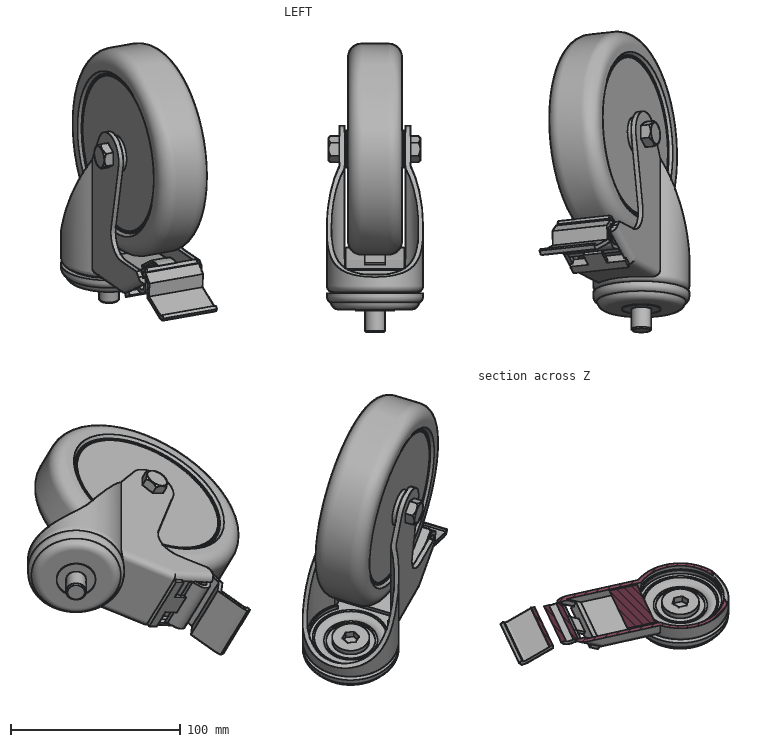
import cadquery as cq
import math


OVERALL_HEIGHT = 170.7
CUT_REACH = 102.5

WHEEL_DIA = 125.0
WHEEL_X = 40.1
WHEEL_Z = OVERALL_HEIGHT - WHEEL_DIA / 2
WHEEL_WIDTH = 32.1
TREAD_ROUND = 8.2
RIM_BEVEL_DIA = 99.4
RIM_GROOVE_DIA = 96.0
RIM_DISC_DIA = 94.0
RIM_DISC_CHAMFER = 0.5
RIM_RECESS = 1.7
RIM_GROOVE_DEPTH = 0.9
HUB_DIA = 22.0
HUB_FACE_DIA = 20.0
HUB_BEVEL = 1.0
AXLE_DIA = 8.0
AXLE_HOLE_DIA = 8.5
HEX_FLATS = 13.5
FAR_HEAD_HEIGHT = 6.7
NEAR_HEAD_HEIGHT = 6.0
HEX_FACE_DIA = 13.0

SHEET = 3.0
FORK_HALF_WIDTH = 21.0
FORK_INNER = FORK_HALF_WIDTH - SHEET
CUP_RADIUS = 28.5
CUP_WALL = 2.7
CUP_INNER = CUP_RADIUS - CUP_WALL
CUP_BOTTOM_Z = 23.5
CUP_ROUND = 4.0
CUP_FRONT_Z = 32.6
CHANNEL_BOTTOM_Z = 26.0
FLOOR_Z = 29.7
BEND_RADIUS = 4.3
EAR_RADIUS = 13.8
LEG_FRONT_ANGLE = 61.9
LEG_REAR_ANGLE = 77.0
LEG_REAR_ROUND = 13.7
LEG_FRONT_START_X = -3.8
CUP_SCOOP_MID = (-14.7, 41.3)
ARM_TOP_Z = 47.1
ARM_SLOPE = 29.7
ARM_SLOPE_START_X = 56.0
ARM_TIP_X = 76.8
ARM_END = (79.7, 44.4)
ARM_END_BOTTOM_X = 81.1
HEEL_LENGTH = 5.8
HEEL_DROP = 2.4
TONGUE_LENGTH = 14.3
TONGUE_THICKNESS = 2.0
LEDGE_INNER = 24.5
LEDGE_HEIGHT = 2.5
LEDGE_END_X = 18.8
BOWL_OUTER = 22.5
BOWL_INNER = 15.9
BOWL_DEPTH = 2.5
BOWL_BULGE = 0.9
BOWL_LIP_RADIUS = 21.5
BOWL_LIP_DROP = 0.3
SEAT_DIA = 29.0
SEAT_DEPTH = 0.5
STUD_HOLE_DIA = 12.5

RACE_TOP_Z = 23.0
RACE_BOTTOM_Z = 13.3
RACE_NECK_RADIUS = 25.0
RACE_RIM_EDGE_Z = 20.8
RACE_RIM_ROUND_MID = (28.0, 19.1)
RACE_RIM_ROUND_END = (26.5, 17.5)
RACE_DISH_START = (26.0, 16.7)
RACE_DISH_MID = (24.2, 14.3)
RACE_DISH_END_RADIUS = 21.3
RACE_BOSS_DIA = 23.0
RACE_BOSS_HEIGHT = 0.5
STUD_DIA = 12.0
STUD_CHAMFER = 0.9
STUD_HEAD_DIA = 22.0
STUD_HEAD_HEIGHT = 3.2
SOCKET_FLATS = 8.5
SOCKET_DEPTH = 4.3

PLATE_WIDTH = 34.8
PEDAL_WIDTH = 35.5
PLATE_THICKNESS = 2.4
PLATE_CORNER = 0.9
PLATE_PATH = [(21.2, 36.5), (55.5, 37.5), (67.5, 43.0), (69.0, 43.9), (81.6, 50.2)]
PEDAL_PATH = [
    (78.5, 47.1),
    (82.3, 47.5),
    (88.0, 42.7),
    (87.2, 34.1),
    (101.7, 27.5),
    (103.5, 27.1),
    (104.3, 28.2),
]
SPRING_PATH = [(54.6, 41.1), (61.8, 45.2), (67.5, 48.5), (72.9, 48.5), (76.8, 47.8)]
LOOP_WIDTH = 33.1
LOOP_REST = 2.5
LOOP_OUTER_START = (73.4, 32.0)
LOOP_OUTER_MID = (78.9, 33.6)
LOOP_OUTER_END = (80.4, 38.0)
LOOP_TOP_REAR = (79.7, 46.8)
LOOP_TOP_FRONT = (77.7, 46.8)
LOOP_INNER_START = (78.2, 38.0)
LOOP_INNER_MID = (77.0, 35.2)
LOOP_INNER_END = (74.0, 34.3)
LOOP_TAIL_TOP = (69.3, 35.2)
SPRING_WIDTH = 12.1
SPRING_THICKNESS = 1.4

ARM_DIR = (math.cos(math.radians(ARM_SLOPE)), math.sin(math.radians(ARM_SLOPE)))
ARM_DOWN = (ARM_DIR[1], -ARM_DIR[0])


def centred_extrude(outline, width):
    """Extrude an XZ outline symmetrically about the plane Y = 0."""
    return outline.extrude(width / 2, both=True)


def cylinder(radius, z_bottom, z_top):
    return cq.Workplane("XY").workplane(offset=z_bottom).circle(radius).extrude(z_top - z_bottom)


def wheel_axis_plane(y, facing):
    """Sketch plane on the wheel axis; facing is +1 towards +Y or -1 towards -Y."""
    return cq.Workplane(cq.Plane((WHEEL_X, y, WHEEL_Z), xDir=(1, 0, 0), normal=(0, facing, 0)))


def along_arm(start, distance, drop=0.0):
    """Point a distance up the sloping arm from start, moved squarely below it by drop."""
    return (
        start[0] + distance * ARM_DIR[0] + drop * ARM_DOWN[0],
        start[1] + distance * ARM_DIR[1] + drop * ARM_DOWN[1],
    )


def bent_strip(path, thickness, width):
    """Sheet strip whose upper face follows path; the sheet lies to the right of the path."""
    headings = [math.atan2(b[1] - a[1], b[0] - a[0]) for a, b in zip(path, path[1:])]
    incoming = [headings[0]] + headings
    outgoing = headings + [headings[-1]]
    lower = []
    for (x, z), h_in, h_out in zip(path, incoming, outgoing):
        middle = (h_in + h_out) / 2
        mitre = thickness / math.cos((h_out - h_in) / 2)
        lower.append((x + mitre * math.sin(middle), z - mitre * math.cos(middle)))
    outline = cq.Workplane("XZ").polyline(path + lower[::-1]).close()
    return centred_extrude(outline, width)


def make_wheel():
    half = WHEEL_WIDTH / 2
    disc_y = half - RIM_RECESS
    groove_y = disc_y - RIM_GROOVE_DEPTH
    hub_y = FORK_INNER
    disc_r = RIM_DISC_DIA / 2
    side = [
        (HUB_FACE_DIA / 2, hub_y),
        (HUB_DIA / 2, hub_y - HUB_BEVEL),
        (HUB_DIA / 2, disc_y),
        (disc_r - RIM_DISC_CHAMFER, disc_y),
        (disc_r, disc_y - RIM_DISC_CHAMFER),
        (disc_r, groove_y),
        (RIM_GROOVE_DIA / 2, groove_y),
        (RIM_GROOVE_DIA / 2, disc_y),
        (RIM_BEVEL_DIA / 2, half),
        (WHEEL_DIA / 2, half),
    ]
    other_side = [(r, -y) for r, y in reversed(side)]
    bore = [(AXLE_DIA / 2, -hub_y), (AXLE_DIA / 2, hub_y)]
    wheel = cq.Workplane("XY").polyline(side + other_side + bore).close()
    wheel = wheel.revolve(360, (0, 0, 0), (0, 1, 0))
    rims = cq.selectors.RadiusNthSelector(-1)
    wheel = wheel.edges("%CIRCLE").edges(rims).fillet(TREAD_ROUND)
    return wheel.translate((WHEEL_X, 0, WHEEL_Z))


def make_axle_bolt():
    bolt = wheel_axis_plane(-FORK_HALF_WIDTH, 1).circle(AXLE_DIA / 2).extrude(2 * FORK_HALF_WIDTH)
    across_corners = HEX_FLATS / math.cos(math.radians(30))
    for facing, height in ((1, FAR_HEAD_HEIGHT), (-1, NEAR_HEAD_HEIGHT)):
        plane = wheel_axis_plane(facing * FORK_HALF_WIDTH, facing)
        head = plane.transformed(rotate=(0, 0, 90)).polygon(6, across_corners).extrude(height)
        crown = plane.circle(HEX_FACE_DIA / 2 + height).extrude(height, taper=45)
        bolt = bolt.union(head.intersect(crown))
    return bolt


def fork_side_outline():
    """Fork seen from the side: cup, leg up to the wheel axle, and brake arm."""
    front = math.radians(LEG_FRONT_ANGLE)
    rear = math.radians(LEG_REAR_ANGLE)
    front_tangent = (WHEEL_X - EAR_RADIUS * math.sin(front), WHEEL_Z + EAR_RADIUS * math.cos(front))
    rear_tangent = (WHEEL_X + EAR_RADIUS * math.sin(rear), WHEEL_Z - EAR_RADIUS * math.cos(rear))
    leg_start_z = front_tangent[1] - (front_tangent[0] - LEG_FRONT_START_X) * math.tan(front)
    rear_foot_x = rear_tangent[0] - (rear_tangent[1] - ARM_TOP_Z) / math.tan(rear)
    bend_start = (ARM_SLOPE_START_X, CHANNEL_BOTTOM_Z)
    slope_length = (ARM_END_BOTTOM_X - ARM_SLOPE_START_X) / ARM_DIR[0]
    outline = (
        cq.Workplane("XZ")
        .moveTo(-CUP_RADIUS, CUP_BOTTOM_Z)
        .lineTo(-CUP_RADIUS, CUP_FRONT_Z)
        .threePointArc(CUP_SCOOP_MID, (LEG_FRONT_START_X, leg_start_z))
        .lineTo(*front_tangent)
        .threePointArc((WHEEL_X, WHEEL_Z + EAR_RADIUS), rear_tangent)
        .lineTo(rear_foot_x, ARM_TOP_Z)
        .lineTo(ARM_TIP_X, ARM_TOP_Z)
        .lineTo(*ARM_END)
        .lineTo(*along_arm(bend_start, slope_length))
        .lineTo(*bend_start)
        .lineTo(CUP_RADIUS, CHANNEL_BOTTOM_Z)
        .lineTo(CUP_RADIUS, CUP_BOTTOM_Z)
        .close()
    )
    return outline, (rear_foot_x, 0, ARM_TOP_Z)


def fork_inside():
    """Space between the fork sides, above the floor and open below the sloping arm."""
    slope_top = (ARM_SLOPE_START_X, FLOOR_Z)
    end = along_arm(slope_top, CUT_REACH)
    corners = [(0, FLOOR_Z), slope_top, end, (end[0], OVERALL_HEIGHT), (0, OVERALL_HEIGHT)]
    channel = cq.Workplane("XZ").polyline(corners).close()
    cup = cylinder(CUP_INNER, FLOOR_Z, OVERALL_HEIGHT)
    return centred_extrude(channel, 2 * FORK_INNER).union(cup)


def arm_opening():
    """Opening through the sloping floor, which leaves only the rolled edges of the arm."""
    heel_end = along_arm((ARM_SLOPE_START_X, CHANNEL_BOTTOM_Z), HEEL_LENGTH)
    depth = 2 * SHEET
    corners = [
        along_arm(heel_end, 0, depth),
        along_arm(heel_end, CUT_REACH, depth),
        along_arm(heel_end, CUT_REACH, -depth),
        along_arm(heel_end, 0, -depth),
    ]
    opening = cq.Workplane("XZ").polyline(corners).close()
    return centred_extrude(opening, 2 * (FORK_HALF_WIDTH - BEND_RADIUS))


def arm_tongue():
    """Heel plate under the sloping arm and the narrow tongue that carries on from it."""
    start = (ARM_SLOPE_START_X, CHANNEL_BOTTOM_Z)

    def plate(length, top_drop, bottom_drop, width):
        corners = [
            along_arm(start, 0, top_drop),
            along_arm(start, length, top_drop),
            along_arm(start, length, bottom_drop),
            along_arm(start, 0, bottom_drop),
        ]
        return centred_extrude(cq.Workplane("XZ").polyline(corners).close(), width)

    heel = plate(HEEL_LENGTH, 0, HEEL_DROP, 2 * FORK_INNER)
    tongue = plate(TONGUE_LENGTH, HEEL_DROP - TONGUE_THICKNESS, HEEL_DROP, SPRING_WIDTH)
    return heel.union(tongue)


def cup_ledge():
    """Raised rim around the cup floor, open towards the wheel."""
    ledge = cylinder(CUP_INNER, FLOOR_Z, FLOOR_Z + LEDGE_HEIGHT)
    ledge = ledge.cut(cylinder(LEDGE_INNER, FLOOR_Z, FLOOR_Z + LEDGE_HEIGHT))
    ledge_trim = cq.Workplane("XY").box(2 * CUT_REACH, 2 * CUT_REACH, 2 * CUT_REACH)
    ledge_trim = ledge_trim.translate((LEDGE_END_X - CUT_REACH, 0, 0))
    return ledge.intersect(ledge_trim)


def bearing_bowl():
    """Rounded trough around the stud head with a flat seat in its middle."""
    bowl_z = FLOOR_Z - BOWL_DEPTH
    seat_z = bowl_z - SEAT_DEPTH
    lip_z = FLOOR_Z - BOWL_LIP_DROP
    middle = ((BOWL_LIP_RADIUS + BOWL_INNER) / 2, (lip_z + bowl_z) / 2 + BOWL_BULGE)
    profile = (
        cq.Workplane("XZ")
        .moveTo(0, FLOOR_Z)
        .lineTo(BOWL_OUTER, FLOOR_Z)
        .lineTo(BOWL_LIP_RADIUS, lip_z)
        .threePointArc(middle, (BOWL_INNER, bowl_z))
        .lineTo(SEAT_DIA / 2, bowl_z)
        .lineTo(SEAT_DIA / 2, seat_z)
        .lineTo(0, seat_z)
        .close()
    )
    return profile.revolve(360, (0, 0, 0), (0, 1, 0))


def make_fork():
    outline, rear_foot = fork_side_outline()
    side = centred_extrude(outline, 2 * CUP_RADIUS)
    side = side.edges(cq.selectors.NearestToPointSelector(rear_foot)).fillet(LEG_REAR_ROUND)
    cup = cylinder(CUP_RADIUS, CUP_BOTTOM_Z, OVERALL_HEIGHT).faces("<Z").edges().fillet(CUP_ROUND)
    arms = cq.Workplane("XY").workplane(offset=CHANNEL_BOTTOM_Z)
    arms = arms.box(CUT_REACH, 2 * FORK_HALF_WIDTH, OVERALL_HEIGHT, centered=(False, True, False))
    arms = arms.intersect(side)
    low_bends = cq.selectors.BoxSelector(
        (0.2, -CUP_RADIUS, 0),
        (ARM_TIP_X, CUP_RADIUS, ARM_TOP_Z - BEND_RADIUS),
    )
    arms = arms.edges("#Y").edges(low_bends).edges("<Y or >Y").fillet(BEND_RADIUS)
    fork = side.intersect(cup).union(arms).cut(fork_inside()).cut(arm_opening())
    fork = fork.union(arm_tongue()).union(cup_ledge())
    fork = fork.cut(bearing_bowl()).cut(cylinder(STUD_HOLE_DIA / 2, 0, FLOOR_Z))
    axle_hole = wheel_axis_plane(-CUP_RADIUS, 1).circle(AXLE_HOLE_DIA / 2).extrude(2 * CUP_RADIUS)
    return fork.cut(axle_hole)


def make_swivel_race():
    boss_z = RACE_BOTTOM_Z - RACE_BOSS_HEIGHT
    profile = (
        cq.Workplane("XZ")
        .moveTo(STUD_DIA / 2, CUP_BOTTOM_Z)
        .lineTo(RACE_NECK_RADIUS, CUP_BOTTOM_Z)
        .lineTo(RACE_NECK_RADIUS, RACE_TOP_Z)
        .lineTo(CUP_RADIUS, RACE_TOP_Z)
        .lineTo(CUP_RADIUS, RACE_RIM_EDGE_Z)
        .threePointArc(RACE_RIM_ROUND_MID, RACE_RIM_ROUND_END)
        .lineTo(*RACE_DISH_START)
        .threePointArc(RACE_DISH_MID, (RACE_DISH_END_RADIUS, RACE_BOTTOM_Z))
        .lineTo(RACE_BOSS_DIA / 2, RACE_BOTTOM_Z)
        .lineTo(RACE_BOSS_DIA / 2, boss_z)
        .lineTo(STUD_DIA / 2, boss_z)
        .close()
    )
    return profile.revolve(360, (0, 0, 0), (0, 1, 0))


def make_stud():
    head_z = FLOOR_Z - BOWL_DEPTH - SEAT_DEPTH
    top_z = head_z + STUD_HEAD_HEIGHT
    stud = cylinder(STUD_DIA / 2, 0, top_z).faces("<Z").chamfer(STUD_CHAMFER)
    stud = stud.union(cylinder(STUD_HEAD_DIA / 2, head_z, top_z))
    socket = cq.Workplane("XY").workplane(offset=top_z - SOCKET_DEPTH)
    socket = socket.polygon(6, SOCKET_FLATS / math.cos(math.radians(30))).extrude(SOCKET_DEPTH)
    return stud.cut(socket)


def brake_loop():
    """Sheet loop below the raised end of the plate, with its tail resting on the fork tongue."""
    tongue_top = HEEL_DROP - TONGUE_THICKNESS
    bend_start = (ARM_SLOPE_START_X, CHANNEL_BOTTOM_Z)
    tail_start = along_arm(bend_start, TONGUE_LENGTH - LOOP_REST, tongue_top)
    tongue_end = along_arm(bend_start, TONGUE_LENGTH, tongue_top)
    outline = (
        cq.Workplane("XZ")
        .moveTo(*tail_start)
        .lineTo(*tongue_end)
        .lineTo(*LOOP_OUTER_START)
        .threePointArc(LOOP_OUTER_MID, LOOP_OUTER_END)
        .lineTo(*LOOP_TOP_REAR)
        .lineTo(*LOOP_TOP_FRONT)
        .lineTo(*LOOP_INNER_START)
        .threePointArc(LOOP_INNER_MID, LOOP_INNER_END)
        .lineTo(*LOOP_TAIL_TOP)
        .close()
    )
    return centred_extrude(outline, LOOP_WIDTH)


def make_brake_spring():
    """Narrow strap arched over the plate, with its rear end let into the plate."""
    return bent_strip(SPRING_PATH, SPRING_THICKNESS, SPRING_WIDTH)


def make_brake_lever(spring):
    """Full-width plate under the wheel, the loop below it and the cranked foot pedal."""
    plate = bent_strip(PLATE_PATH, PLATE_THICKNESS, PLATE_WIDTH)
    plate = plate.faces(">X").edges("<Y or >Y").chamfer(PLATE_CORNER)
    pedal = bent_strip(PEDAL_PATH, PLATE_THICKNESS, PEDAL_WIDTH)
    return plate.union(pedal).union(brake_loop()).cut(spring)


fork = make_fork()
swivel_race = make_swivel_race()
stud = make_stud()
wheel = make_wheel()
axle_bolt = make_axle_bolt()
brake_spring = make_brake_spring()
brake_lever = make_brake_lever(brake_spring)
bodies = [fork, swivel_race, stud, wheel, axle_bolt, brake_lever, brake_spring]
result = cq.Compound.makeCompound([body.val() for body in bodies])